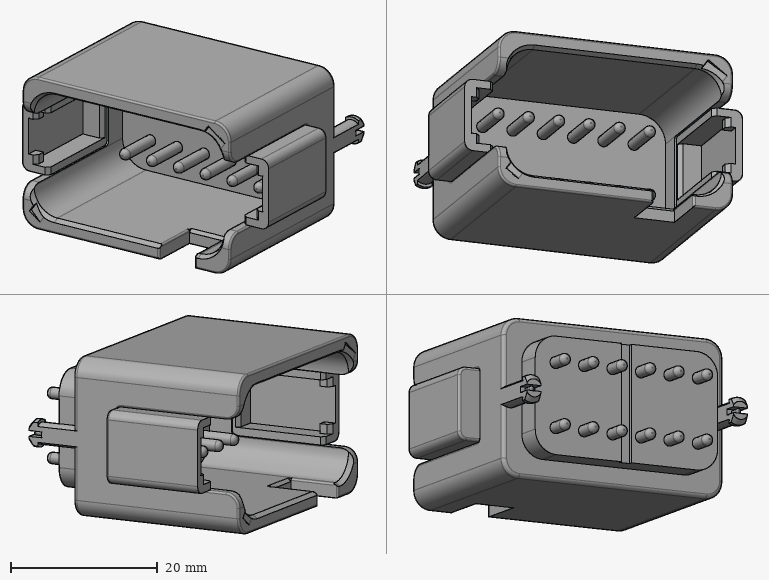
import cadquery as cq
import math


SHELL_WIDTH = 34.15
SHELL_HEIGHT = 22.2
SHELL_DEPTH = 25.65
SHELL_CORNER = 2.55
BACK_ROUND = 0.55
RIM_ROUND = 0.3
SIDE = SHELL_WIDTH / 2
BOTTOM = -SHELL_HEIGHT / 2

CAVITY_WIDTH = 31.3
CAVITY_TOP = 9.0
CAVITY_BOTTOM = -9.05
CAVITY_CORNER = 3.85
CAVITY_DEPTH = 22.25
MOUTH_BEVEL_HEIGHT = 0.45
MOUTH_BEVEL_DEPTH = 0.73

WINDOW_HEIGHT = 10.2
WINDOW_END = 18.85
WINDOW_INNER_CORNER = 0.55
WINDOW_MOUTH_CORNER = 2.02
LATCH_REACH = 20.22
LATCH_FRONT = 4.7
LATCH_INNER_X = 15.95
LATCH_CORNER = 1.17
LATCH_BACK_ROUND = 0.35
LATCH_WALL = 1.0
LATCH_BEVEL = 0.55
POCKET_HEIGHT = 7.93
CATCH_GAP = 5.2
CATCH_INNER_X = 17.9
CATCH_LENGTH = 1.7
CATCH_BEVEL = 0.6
POCKET_OUTER_X = LATCH_REACH - LATCH_WALL

SLOT_LEFT = 5.45
SLOT_RIGHT = 11.3
SLOT_DEPTH = 7.3
SLOT_BEVEL_DEPTH = 0.5

KEY_RECESSES = [(14.85, 9.22, 3.35), (-15.05, -9.3, 2.15)]
KEY_WIDTH = 2.02
KEY_DEPTH = 0.5
KEY_ANGLE = 36

PLATEAU_WIDTH = 28.27
PLATEAU_HEIGHT = 16.45
PLATEAU_CORNER = 3.25
PLATEAU_END = 29.45
VENT_WIDTH = 1.58
VENT_DEPTH = 0.55

PIN_COLUMNS = 6
PIN_PITCH = 4.4
ROW_SPACING = 9.05
PIN_RADIUS = 0.8
PIN_ROUND = 0.73
PIN_FRONT = 15.37
PIN_BACK = 32.8

POST_THICKNESS = 2.15
POST_RADIUS = 1.55
POST_START = SHELL_DEPTH - BACK_ROUND
HEAD_RADIUS = 1.95
HEAD_START = 31.15
HEAD_STRAIGHT_END = 31.85
TIP_RADIUS = 1.25
TIP_END = 32.52
SPLIT_WIDTH = 0.8
SPLIT_START = 30.6
CORE_RADIUS = 0.35
CORE_END = 32.1
CORE_ROUND = 0.3


def block(x_range, y_range, z_range):
    """Axis-aligned box given by its limits."""
    corner = (x_range[0], y_range[0], z_range[0])
    size = [limits[1] - limits[0] for limits in (x_range, y_range, z_range)]
    return cq.Workplane("XY").box(*size, centered=False).translate(corner)


def rounded_prism(width, bottom, top, corner, start, end):
    """Rounded rectangle across X and Z, running along Y."""
    prism = block((-width / 2, width / 2), (start, end), (bottom, top))
    return prism.edges("|Y").fillet(corner)


def rod(x, z, radius, start, end):
    """Cylinder along Y."""
    return cq.Workplane("XZ", origin=(x, start, z)).circle(radius).extrude(start - end)


def flared_opening(plane, low, high, end, flare, thickness):
    """Opening cut from the mouth inwards, with its two corners at the mouth rounded outwards."""
    bend = flare * (1 - math.sqrt(0.5))
    return (
        plane.moveTo(high + flare, 0)
        .threePointArc((high + bend, bend), (high, flare))
        .lineTo(high, end)
        .lineTo(low, end)
        .lineTo(low, flare)
        .threePointArc((low - bend, bend), (low - flare, 0))
        .close()
        .extrude(thickness)
    )


def make_window_cutter():
    """Window through both side walls."""
    across = cq.Workplane(cq.Plane(origin=(-SIDE, 0, 0), xDir=(0, 0, -1), normal=(1, 0, 0)))
    half = WINDOW_HEIGHT / 2
    window = flared_opening(across, -half, half, WINDOW_END, WINDOW_MOUTH_CORNER, SHELL_WIDTH)
    return window.edges("|X and >Y").fillet(WINDOW_INNER_CORNER)


def make_cavity():
    """Cavity with a bevelled mouth."""
    cavity = rounded_prism(CAVITY_WIDTH, CAVITY_BOTTOM, CAVITY_TOP, CAVITY_CORNER, 0, CAVITY_DEPTH)
    bevel_angle = math.degrees(math.atan2(MOUTH_BEVEL_HEIGHT, MOUTH_BEVEL_DEPTH))
    mouth = (
        rounded_prism(CAVITY_WIDTH, CAVITY_BOTTOM, CAVITY_TOP, CAVITY_CORNER, 0, MOUTH_BEVEL_DEPTH)
        .faces(">Y")
        .wires()
        .toPending()
        .workplane()
        .extrude(-MOUTH_BEVEL_DEPTH, taper=-bevel_angle, combine=False)
    )
    return cavity.union(mouth)


def cut_key_slot(shell):
    """Cut the key slot through the bottom wall, round its long edges and bevel its closed end."""
    below = cq.Workplane("XY", origin=(0, 0, BOTTOM))
    wall = CAVITY_BOTTOM - BOTTOM
    shell = shell.cut(flared_opening(below, SLOT_LEFT, SLOT_RIGHT, SLOT_DEPTH, RIM_ROUND, wall))
    for x in (SLOT_LEFT, SLOT_RIGHT):
        long_edge = cq.selectors.NearestToPointSelector((x, SLOT_DEPTH / 2, CAVITY_BOTTOM))
        shell = shell.edges(long_edge).fillet(RIM_ROUND)
    bevel = (
        cq.Workplane("YZ", origin=(SLOT_LEFT, SLOT_DEPTH, CAVITY_BOTTOM))
        .lineTo(SLOT_BEVEL_DEPTH, 0)
        .lineTo(0, -MOUTH_BEVEL_HEIGHT)
        .close()
        .extrude(SLOT_RIGHT - SLOT_LEFT)
    )
    return shell.cut(bevel)


def make_key_recess(x, z, length):
    """Tilted rectangle in the mouth face, from its outer edge to the cavity, deepest at its left end."""
    inward = -math.copysign(KEY_WIDTH, z)
    recess = (
        cq.Workplane("XY")
        .moveTo(-length / 2, 0)
        .lineTo(length / 2, 0)
        .lineTo(-length / 2, KEY_DEPTH)
        .close()
        .extrude(inward)
    )
    return recess.rotate((0, 0, 0), (0, 1, 0), KEY_ANGLE).translate((x, 0, z))


def make_shell():
    """Hollow rounded box with side windows, key slot and corner recesses."""
    shell = rounded_prism(SHELL_WIDTH, BOTTOM, -BOTTOM, SHELL_CORNER, 0, SHELL_DEPTH)
    shell = shell.faces(">Y").edges().fillet(BACK_ROUND)
    shell = shell.cut(make_window_cutter()).edges("<Y").edges(">Z").fillet(RIM_ROUND)
    shell = cut_key_slot(shell.cut(make_cavity()))
    for x, z, length in KEY_RECESSES:
        shell = shell.cut(make_key_recess(x, z, length))
    return shell


def make_latch():
    """Latch pocket over the left window: a hollow bracket with two catches at its front."""
    half = WINDOW_HEIGHT / 2
    pocket_half = POCKET_HEIGHT / 2
    pocket_end = WINDOW_END - LATCH_WALL
    bracket = block((-LATCH_REACH, -LATCH_INNER_X), (LATCH_FRONT, WINDOW_END), (-half, half))
    bracket = bracket.edges("<X and |Y").fillet(LATCH_CORNER)
    bracket = bracket.faces(">Y").edges("<X").fillet(LATCH_BACK_ROUND)
    bracket = bracket.edges("|Z and >X and <Y").chamfer(LATCH_BEVEL)
    pocket = block(
        (-POCKET_OUTER_X, -LATCH_INNER_X), (LATCH_FRONT, pocket_end), (-pocket_half, pocket_half)
    )
    pocket_back_edge = cq.selectors.NearestToPointSelector((-LATCH_INNER_X, pocket_end, 0))
    bracket = bracket.cut(pocket).edges(pocket_back_edge).chamfer(LATCH_BEVEL)

    for side in (-1, 1):
        z_range = sorted((side * CATCH_GAP / 2, side * pocket_half))
        catch = block(
            (-POCKET_OUTER_X, -CATCH_INNER_X), (LATCH_FRONT, LATCH_FRONT + CATCH_LENGTH), z_range
        )
        bracket = bracket.union(catch.edges("|Z and >X and <Y").chamfer(CATCH_BEVEL))
    return bracket


def make_plateau():
    """Rear plateau with a vent groove running the full height."""
    half = PLATEAU_HEIGHT / 2
    plateau = rounded_prism(PLATEAU_WIDTH, -half, half, PLATEAU_CORNER, CAVITY_DEPTH, PLATEAU_END)
    vent = block((-VENT_WIDTH / 2, VENT_WIDTH / 2), (PLATEAU_END - VENT_DEPTH, PLATEAU_END), (-half, half))
    return plateau.cut(vent)


def make_pins():
    """Two rows of round-ended contact pins."""
    pins = cq.Workplane("XY")
    for column in range(PIN_COLUMNS):
        x = (column - (PIN_COLUMNS - 1) / 2) * PIN_PITCH
        for z in (-ROW_SPACING / 2, ROW_SPACING / 2):
            pins = pins.add(rod(x, z, PIN_RADIUS, PIN_FRONT, PIN_BACK).edges().fillet(PIN_ROUND))
    return pins.combine()


def make_post():
    """Left board post: a split, barbed stud with two flats, around a slim core."""
    center_x = -SIDE + POST_THICKNESS / 2
    stud = (
        cq.Workplane("XY")
        .moveTo(0, POST_START)
        .lineTo(POST_RADIUS, POST_START)
        .lineTo(POST_RADIUS, HEAD_START)
        .lineTo(HEAD_RADIUS, HEAD_START)
        .lineTo(HEAD_RADIUS, HEAD_STRAIGHT_END)
        .lineTo(TIP_RADIUS, TIP_END)
        .lineTo(0, TIP_END)
        .close()
        .revolve(360, (0, 0, 0), (0, 1, 0))
    )
    flat = POST_THICKNESS / 2
    stud = stud.intersect(block((-flat, flat), (POST_START, TIP_END), (-HEAD_RADIUS, HEAD_RADIUS)))
    split = block((-flat, flat), (SPLIT_START, TIP_END), (-SPLIT_WIDTH / 2, SPLIT_WIDTH / 2))
    core = rod(0, 0, CORE_RADIUS, POST_START, CORE_END).faces(">Y").edges().fillet(CORE_ROUND)
    return stud.cut(split).union(core).translate((center_x, 0, 0))


def both_sides(part):
    """The part together with its mirror image across the middle plane."""
    return part.union(part.mirror("YZ"))


result = (
    make_shell()
    .union(both_sides(make_latch()))
    .union(make_plateau())
    .union(make_pins())
    .union(both_sides(make_post()))
)